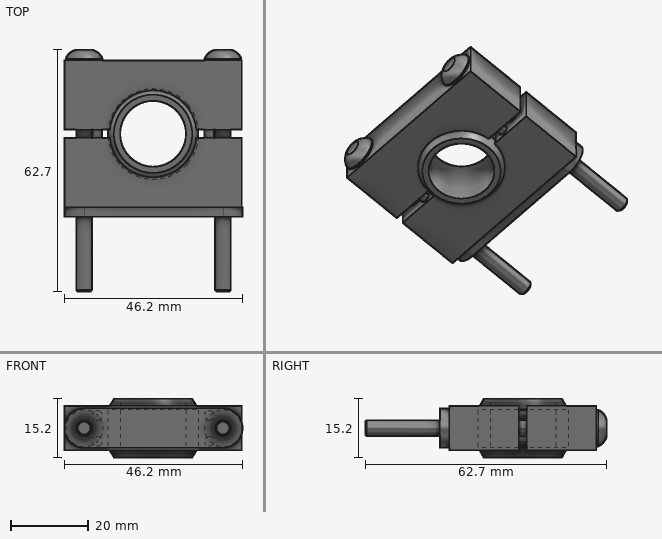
import cadquery as cq

BLOCK_LENGTH = 46.0
BLOCK_HEIGHT = 11.5
HALF_SPAN_Y = 19.06
GAP = 2.1
HALF_DEPTH = HALF_SPAN_Y - GAP / 2

RING_HEIGHT = 15.24
RING_BORE_RADIUS = 8.5
RING_OUTER_RADIUS = 11.75
RING_END_RADIUS = 10.15
RING_BAND_HEIGHT = 9.86

PLATE_LENGTH = 46.23
PLATE_HEIGHT = 10.2
PLATE_THICKNESS = 2.45
PLATE_OFFSET_X = (PLATE_LENGTH - BLOCK_LENGTH) / 2

BOLT_SPACING = 36.0
BOLT_OFFSET_X = PLATE_OFFSET_X
BOLT_RADIUS = 2.07
BOLT_TIP_CHAMFER = 0.4
BOLT_TAIL_LENGTH = 19.38
BOLT_TIP_Y = -HALF_SPAN_Y - PLATE_THICKNESS - BOLT_TAIL_LENGTH
HEAD_RADIUS = 4.8
HEAD_HEIGHT = 2.74
HEAD_RIM_HEIGHT = 0.45
HEAD_TOP_RADIUS = 2.1
DOME_MID_RADIUS = 3.9
DOME_MID_HEIGHT = 1.75

PIN_RADIUS = 1.27
PIN_X = 14.5
PIN_Z = 3.35


def ring_profile(inner_radius):
    """Half section of the ring, from inner_radius outwards, turned about Z."""
    top = RING_HEIGHT / 2
    band = RING_BAND_HEIGHT / 2
    return (
        cq.Workplane("XZ")
        .moveTo(inner_radius, -top)
        .lineTo(RING_END_RADIUS, -top)
        .lineTo(RING_OUTER_RADIUS, -band)
        .lineTo(RING_OUTER_RADIUS, band)
        .lineTo(RING_END_RADIUS, top)
        .lineTo(inner_radius, top)
        .close()
        .revolve(360, (0, 0, 0), (0, 1, 0))
    )


def clamp_half(side):
    """One block; side is +1 for the +Y half and -1 for the -Y half."""
    center_y = side * (GAP + HALF_DEPTH) / 2
    return cq.Workplane("XY").box(BLOCK_LENGTH, HALF_DEPTH, BLOCK_HEIGHT).translate((0, center_y, 0))


def retaining_plate():
    """Flat plate with fully rounded ends against the -Y block."""
    return (
        cq.Workplane("XZ", origin=(PLATE_OFFSET_X, -HALF_SPAN_Y, 0))
        .slot2D(PLATE_LENGTH, PLATE_HEIGHT)
        .extrude(PLATE_THICKNESS)
    )


def bolt(x):
    """Dome-headed bolt turned about its own axis along Y."""
    head_base = HALF_SPAN_Y
    return (
        cq.Workplane("XY", origin=(x, 0, 0))
        .moveTo(0, BOLT_TIP_Y)
        .lineTo(BOLT_RADIUS - BOLT_TIP_CHAMFER, BOLT_TIP_Y)
        .lineTo(BOLT_RADIUS, BOLT_TIP_Y + BOLT_TIP_CHAMFER)
        .lineTo(BOLT_RADIUS, head_base)
        .lineTo(HEAD_RADIUS, head_base)
        .lineTo(HEAD_RADIUS, head_base + HEAD_RIM_HEIGHT)
        .threePointArc(
            (DOME_MID_RADIUS, head_base + DOME_MID_HEIGHT),
            (HEAD_TOP_RADIUS, head_base + HEAD_HEIGHT),
        )
        .lineTo(0, head_base + HEAD_HEIGHT)
        .close()
        .revolve(360, (0, 0, 0), (0, 1, 0))
    )


def gap_pin(x, z):
    """Short pin along Y joining the facing sides of the two blocks."""
    return cq.Workplane("XZ", origin=(x, GAP / 2, z)).circle(PIN_RADIUS).extrude(GAP)


def clamp_body():
    """Blocks, plate, bolts and pins joined, with a seat cut for the ring."""
    body = clamp_half(1).union(clamp_half(-1)).union(retaining_plate())
    for side_x in (-1, 1):
        body = body.union(bolt(BOLT_OFFSET_X + side_x * BOLT_SPACING / 2))
        for side_z in (-1, 1):
            body = body.union(gap_pin(side_x * PIN_X, side_z * PIN_Z))
    return body.cut(ring_profile(0))


clamp = clamp_body()
ring = ring_profile(RING_BORE_RADIUS)

result = cq.Compound.makeCompound([clamp.solids().val(), ring.val()])